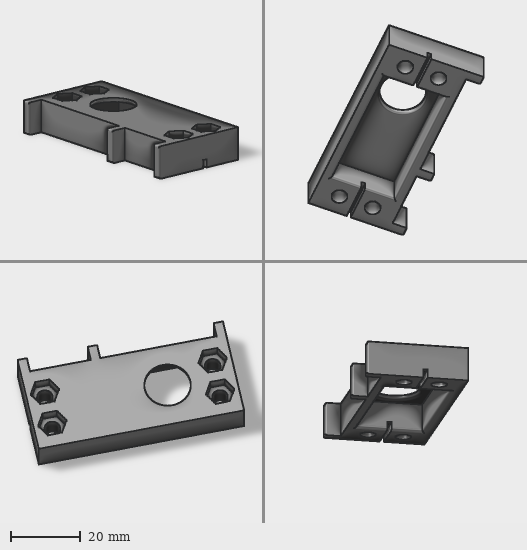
import cadquery as cq
import math

length = 60.0
total_depth = 29.5
height = 9.75

body_depth = 25.0
leg_width = 2.75
middle_leg_start = 36.75
leg_edge_radius = 0.5
leg_length = total_depth - body_depth
body_center_y = leg_length + body_depth / 2

plate_thickness = 1.5
wall_thickness = 3.0
rim_radius = 1.0
end_block_length = 11.0

opening_diameter = 13.25
opening_x = 19.75

screw_diameter = 4.5
screw_edge_distance = 5.5
screw_pitch_y = 10.3
nut_across_flats = 7.2
nut_pocket_depth = 3.5

groove_width = 1.25
groove_height = 2.5


def make_box(size_x, size_y, size_z, corner):
    """Box with its lowest corner at the given point."""
    return cq.Workplane("XY").box(size_x, size_y, size_z, centered=False).translate(corner)


def make_leg(start_x):
    """Leg reaching from the front face, rounded around its free end."""
    leg = make_box(leg_width, leg_length, height, (start_x, 0, 0))
    return leg.faces("<Y").edges().fillet(leg_edge_radius)


def make_cavity():
    """Hollow below the top plate, open at the bottom."""
    return make_box(
        length - 2 * end_block_length,
        body_depth - 2 * wall_thickness,
        height - plate_thickness,
        (end_block_length, leg_length + wall_thickness, 0),
    )


def make_opening():
    """Cylinder for the large opening."""
    return cq.Workplane("XY").center(opening_x, body_center_y).circle(opening_diameter / 2).extrude(height)


def round_cavity_rim(body):
    """Round the edges where the cavity meets the underside."""
    edge_zone = cq.selectors.BoxSelector(
        (end_block_length / 2, leg_length + wall_thickness / 2, -rim_radius),
        (length - end_block_length / 2, total_depth - wall_thickness / 2, rim_radius),
    )
    return body.edges(edge_zone).edges("#Z").fillet(rim_radius)


def round_opening_rim(body):
    """Round the edge where the opening breaks into the cavity."""
    ceiling_edge = cq.selectors.NearestToPointSelector(
        (opening_x, body_center_y, height - plate_thickness)
    )
    return body.edges("%CIRCLE").edges(ceiling_edge).fillet(rim_radius)


def make_screw_cutters():
    """Screw holes right through, and nut pockets sunk from the top face."""
    points = []
    for x in (screw_edge_distance, length - screw_edge_distance):
        for side in (-1, 1):
            points.append((x, body_center_y + side * screw_pitch_y / 2))
    nut_across_corners = nut_across_flats / math.cos(math.pi / 6)
    holes = cq.Workplane("XY").pushPoints(points).circle(screw_diameter / 2).extrude(height)
    pockets = (
        cq.Workplane("XY")
        .workplane(offset=height - nut_pocket_depth)
        .pushPoints(points)
        .polygon(6, nut_across_corners)
        .extrude(nut_pocket_depth)
    )
    return holes.union(pockets)


def make_groove():
    """Groove along X on the body's centre line."""
    return make_box(length, groove_width, groove_height, (0, body_center_y - groove_width / 2, 0))


result = make_box(length, body_depth, height, (0, leg_length, 0))
for leg_start in (0, middle_leg_start, length - leg_width):
    result = result.union(make_leg(leg_start))
result = result.cut(make_cavity())
result = round_cavity_rim(result)
result = result.cut(make_opening())
result = round_opening_rim(result)
result = result.cut(make_screw_cutters())
result = result.cut(make_groove())